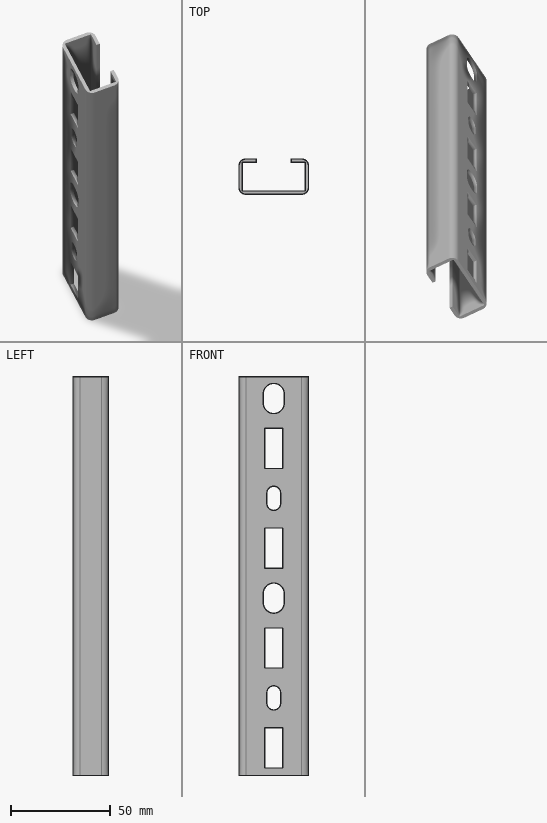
import cadquery as cq

length = 200.0
width = 35.0
depth = 17.8

wall = 1.75
bend_radius = 3.5
mouth_width = 17.5

hole_pitch = 25.0
first_hole_offset = 11.0
large_slot = (15.0, 10.5)
small_slot = (12.0, 6.8)
window = (9.0, 20.0)
pattern_repeats = 2
holes_per_pattern = 4


def make_channel():
    """Extrude the lipped channel, with its web at -Y and its mouth at +Y."""
    outer = cq.Workplane("XY").rect(width, depth).extrude(length)
    outer = outer.edges("|Z").fillet(bend_radius)
    inner = cq.Workplane("XY").rect(width - 2 * wall, depth - 2 * wall).extrude(length)
    mouth = cq.Workplane("XY").rect(mouth_width, depth, centered=(True, False)).extrude(length)
    return outer.cut(inner).cut(mouth)


def web_sketch(height):
    """Return a sketch plane inside the channel, facing the web."""
    return cq.Workplane("XZ").center(0, height)


def slot_cutter(height, size):
    """Make an upright round-ended cutter through the web."""
    return web_sketch(height).slot2D(*size, angle=90).extrude(depth)


def window_cutter(height):
    """Make a rectangular cutter through the web."""
    return web_sketch(height).rect(*window).extrude(depth)


result = make_channel()

for repeat in range(pattern_repeats):
    pattern_top = length - first_hole_offset - repeat * holes_per_pattern * hole_pitch
    result = result.cut(slot_cutter(pattern_top, large_slot))
    result = result.cut(window_cutter(pattern_top - hole_pitch))
    result = result.cut(slot_cutter(pattern_top - 2 * hole_pitch, small_slot))
    result = result.cut(window_cutter(pattern_top - 3 * hole_pitch))